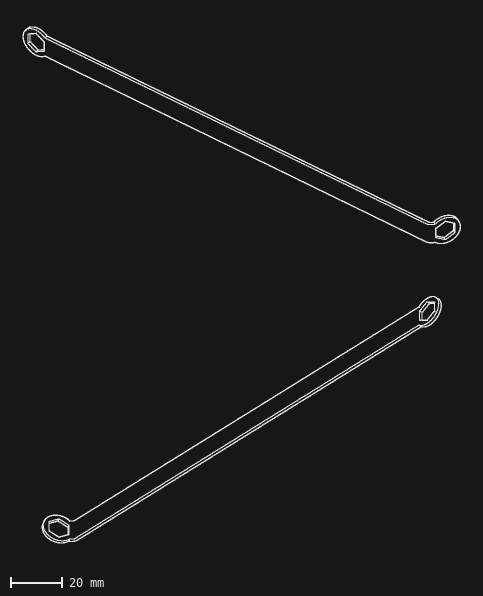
import cadquery as cq
import math

length = 206.2
depth = 12.0
thickness = 1.5
bar_width = 9.3
ring_diameter = 12.8
hex_across_flats = 8.0
bend_angle = 60.0
inner_bend_radius = 2.0

ring_radius = ring_diameter / 2
outer_bend_radius = inner_bend_radius + thickness
bend_sin = math.sin(math.radians(bend_angle))
bend_cos = math.cos(math.radians(bend_angle))
inner_bend_end_y = outer_bend_radius - inner_bend_radius * bend_cos
leg_length = (depth - inner_bend_end_y) / bend_sin
leg_to_ring_center = leg_length - ring_radius
bend_start_x = length - leg_length * bend_cos - outer_bend_radius * bend_sin

straight_plane = cq.Plane(origin=(ring_radius, 0, 0), xDir=(1, 0, 0), normal=(0, -1, 0))
ring_center_x = bend_start_x + outer_bend_radius * bend_sin + leg_to_ring_center * bend_cos
ring_center_y = outer_bend_radius * (1 - bend_cos) + leg_to_ring_center * bend_sin
bent_plane = cq.Plane(
    origin=(ring_center_x, ring_center_y, 0),
    xDir=(bend_cos, bend_sin, 0),
    normal=(bend_sin, -bend_cos, 0),
)


def bent_bar():
    """Strip running from the first ring centre, round the bend, to the second ring centre."""

    def bend_point(radius, angle):
        return (
            bend_start_x + radius * math.sin(math.radians(angle)),
            outer_bend_radius - radius * math.cos(math.radians(angle)),
        )

    inner_ring_center = (
        ring_center_x - thickness * bend_sin,
        ring_center_y + thickness * bend_cos,
    )
    return (
        cq.Workplane("XY")
        .moveTo(ring_radius, 0)
        .lineTo(bend_start_x, 0)
        .threePointArc(bend_point(outer_bend_radius, bend_angle / 2), bend_point(outer_bend_radius, bend_angle))
        .lineTo(ring_center_x, ring_center_y)
        .lineTo(*inner_ring_center)
        .lineTo(*bend_point(inner_bend_radius, bend_angle))
        .threePointArc(bend_point(inner_bend_radius, bend_angle / 2), bend_point(inner_bend_radius, 0))
        .lineTo(ring_radius, thickness)
        .close()
        .extrude(bar_width / 2, both=True)
    )


def ring_disc(plane):
    return cq.Workplane(plane).circle(ring_radius).extrude(-thickness)


def bent_ring_disc():
    """Disc on the bent leg, stopped at the end of the bend so that it stays clear of the curve."""
    flat_area = (
        cq.Workplane(bent_plane)
        .center(leg_length / 2 - leg_to_ring_center, 0)
        .rect(leg_length, ring_diameter)
        .extrude(-thickness)
    )
    return ring_disc(bent_plane).intersect(flat_area)


def hex_hole(plane):
    """Hexagonal opening with two flats square to the bar and points toward +Z and -Z."""
    across_corners = hex_across_flats / math.cos(math.pi / 6)
    return (
        cq.Workplane(plane)
        .transformed(rotate=(0, 0, 90))
        .polygon(6, across_corners)
        .extrude(-thickness)
    )


result = bent_bar().union(ring_disc(straight_plane)).union(bent_ring_disc())
for plane in (straight_plane, bent_plane):
    result = result.cut(hex_hole(plane))